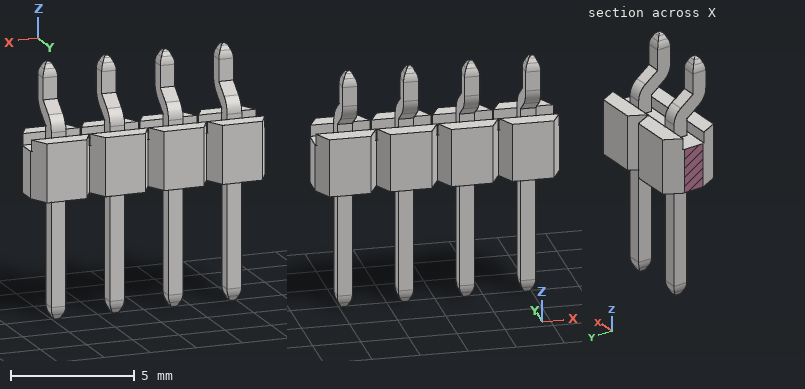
import cadquery as cq
import math

pin_count = 4
row_length = 10.15
housing_depth = 2.5
housing_bottom = 5.3
housing_height = 2.49
notch_run = 0.4
end_face_depth = 0.94
channel_width = 1.02
channel_depth = 0.49

total_height = 10.6
pin_width = 0.64
bend_start = 8.06
bend_outer_radius = 0.85
jog_slope = 37.5

flank_radius = 0.77
taper_angle = 26.0
end_edge_radius = 0.11
end_flat_width = 0.11

half_pin = pin_width / 2
half_flat_end = end_flat_width / 2
pitch = row_length / pin_count
jog_offset = -(housing_depth / 2 - half_pin)


def on_circle(center, radius, degrees):
    angle = math.radians(degrees)
    return (center[0] + radius * math.cos(angle), center[1] + radius * math.sin(angle))


def add_arc(wire, center, radius, start, end):
    """Continue the wire to an arc's start angle, then along the arc to its end angle."""
    middle = on_circle(center, radius, (start + end) / 2)
    wire = wire.lineTo(*on_circle(center, radius, start))
    return wire.threePointArc(middle, on_circle(center, radius, end))


def tip_length():
    taper = math.radians(taper_angle)
    flank_inset = flank_radius * (1 - math.cos(taper))
    taper_inset = half_pin - flank_inset - half_flat_end - end_edge_radius * math.cos(taper)
    flank_rise = flank_radius * math.sin(taper)
    edge_rise = end_edge_radius * (1 - math.sin(taper))
    return flank_rise + taper_inset / math.tan(taper) + edge_rise


def add_tip(wire, middle, end_height, direction):
    """Round a tip counter-clockwise; direction is 1 for the upper end and -1 for the lower."""
    turn = 0 if direction > 0 else 180
    shoulder = end_height - direction * tip_length()
    flank_offset = direction * (half_pin - flank_radius)
    edge_height = end_height - direction * end_edge_radius
    edge_offset = direction * half_flat_end
    first_edge = (middle + edge_offset, edge_height)
    second_edge = (middle - edge_offset, edge_height)
    first_flank = (middle + flank_offset, shoulder)
    second_flank = (middle - flank_offset, shoulder)
    wire = add_arc(wire, first_flank, flank_radius, turn, turn + taper_angle)
    wire = add_arc(wire, first_edge, end_edge_radius, turn + taper_angle, turn + 90)
    wire = add_arc(wire, second_edge, end_edge_radius, turn + 90, turn + 180 - taper_angle)
    return add_arc(wire, second_flank, flank_radius, turn + 180 - taper_angle, turn + 180)


def straight_outline():
    """Pin outline in the XZ plane, without the jog."""
    wire = cq.Workplane("XZ").moveTo(half_pin, housing_bottom)
    wire = add_tip(wire, 0, total_height, 1)
    return add_tip(wire, 0, 0, -1).close()


def jogged_outline():
    """Pin outline in the YZ plane, with sharp inner and rounded outer bend corners."""
    slope = math.radians(jog_slope)
    bend = 90 - jog_slope
    inner_run = -jog_offset - pin_width
    inner_rise = (pin_width + inner_run * math.sin(slope)) / math.cos(slope)
    lower_inner = (-half_pin, bend_start)
    upper_inner = (jog_offset + half_pin, bend_start + inner_rise)
    center_run = bend_outer_radius - pin_width
    center_rise = center_run * math.tan(math.radians(bend / 2))
    lower_center = (lower_inner[0] - center_run, lower_inner[1] - center_rise)
    upper_center = (upper_inner[0] + center_run, upper_inner[1] + center_rise)

    wire = cq.Workplane("YZ").moveTo(half_pin, housing_bottom)
    wire = add_arc(wire, lower_center, bend_outer_radius, 0, bend)
    wire = wire.lineTo(*upper_inner)
    wire = add_tip(wire, jog_offset, total_height, 1)
    wire = add_arc(wire, upper_center, bend_outer_radius, 180, 180 + bend)
    wire = wire.lineTo(*lower_inner)
    return add_tip(wire, 0, 0, -1).close()


def make_pin():
    across = jogged_outline().extrude(half_pin, both=True)
    along = straight_outline().extrude(housing_depth, both=True)
    return across.intersect(along)


def make_housing(cell_centers):
    """Row of cells with bevelled corners and a channel along the top."""
    half_pitch = pitch / 2
    half_flat = half_pitch - notch_run
    half_depth = housing_depth / 2
    half_end = end_face_depth / 2
    housing = cq.Workplane("XY").rect(row_length, end_face_depth).extrude(housing_height)
    for x in cell_centers:
        outline = [
            (x - half_pitch, -half_end),
            (x - half_flat, -half_depth),
            (x + half_flat, -half_depth),
            (x + half_pitch, -half_end),
            (x + half_pitch, half_end),
            (x + half_flat, half_depth),
            (x - half_flat, half_depth),
            (x - half_pitch, half_end),
        ]
        housing = housing.union(cq.Workplane("XY").polyline(outline).close().extrude(housing_height))
    channel = (
        cq.Workplane("XY")
        .workplane(offset=housing_height - channel_depth)
        .rect(row_length, channel_width)
        .extrude(channel_depth)
    )
    return housing.cut(channel).translate((0, 0, housing_bottom))


pin_positions = [(i - (pin_count - 1) / 2) * pitch for i in range(pin_count)]
result = make_housing(pin_positions)
pin = make_pin()
for x in pin_positions:
    result = result.union(pin.translate((x, 0, 0)))